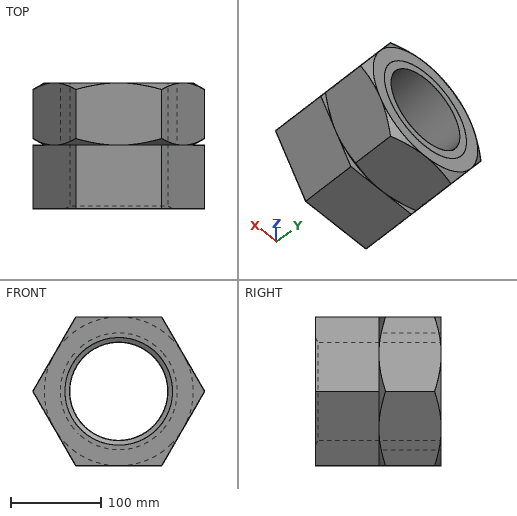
import cadquery as cq
import math

ACROSS_CORNERS = 190.5
CORNER_RADIUS = ACROSS_CORNERS / 2
FLAT_RADIUS = CORNER_RADIUS * math.cos(math.radians(30))

TOTAL_LENGTH = 139.5
PLAIN_HEX_LENGTH = 70.5
NUT_LENGTH = TOTAL_LENGTH - PLAIN_HEX_LENGTH

SLEEVE_RADIUS = 64.8

BORE_RADIUS = 54.3
COUNTERSINK_RADIUS = 59.6
COUNTERSINK_ANGLE = 120.0
COUNTERSINK_DEPTH = (COUNTERSINK_RADIUS - BORE_RADIUS) / math.tan(math.radians(COUNTERSINK_ANGLE / 2))

CORNER_CHAMFER_ANGLE = 30.0
CORNER_DROP = (CORNER_RADIUS - FLAT_RADIUS) * math.tan(math.radians(CORNER_CHAMFER_ANGLE))


def revolve_about_y(profile):
    """Revolve a closed (radius, y) profile a full turn around the Y axis."""
    return cq.Workplane("XY").polyline(profile).close().revolve(360, (0, 0, 0), (0, 1, 0))


def plane_at(y):
    """Workplane across the axis at the given Y; negative extrusions run toward +Y."""
    return cq.Workplane("XZ", origin=(0, y, 0))


def hex_prism(y_front, length):
    """Solid hexagonal prism that runs from y_front toward +Y."""
    return plane_at(y_front).polygon(6, ACROSS_CORNERS).extrude(-length)


def cylinder(y_front, length, radius):
    """Solid cylinder that runs from y_front toward +Y."""
    return plane_at(y_front).circle(radius).extrude(-length)


def countersunk_bore():
    """Cutter for the through bore and its front countersink."""
    return revolve_about_y([
        (0, 0),
        (COUNTERSINK_RADIUS, 0),
        (BORE_RADIUS, COUNTERSINK_DEPTH),
        (BORE_RADIUS, TOTAL_LENGTH),
        (0, TOTAL_LENGTH),
    ])


def corner_chamfer_envelope(y_front, y_back):
    """Round blank with a cone at each end; its overlap with a hexagonal prism has chamfered corners."""
    return revolve_about_y([
        (0, y_front),
        (FLAT_RADIUS, y_front),
        (CORNER_RADIUS, y_front + CORNER_DROP),
        (CORNER_RADIUS, y_back - CORNER_DROP),
        (FLAT_RADIUS, y_back),
        (0, y_back),
    ])


def make_hex_sleeve():
    """Plain hexagon with a sleeve behind it, bored through its whole length."""
    body = hex_prism(0, PLAIN_HEX_LENGTH)
    body = body.union(cylinder(PLAIN_HEX_LENGTH, NUT_LENGTH, SLEEVE_RADIUS))
    return body.cut(countersunk_bore())


def make_chamfered_nut():
    """Nut with chamfered corners at both ends and a hole that fits the sleeve."""
    nut = hex_prism(PLAIN_HEX_LENGTH, NUT_LENGTH)
    nut = nut.intersect(corner_chamfer_envelope(PLAIN_HEX_LENGTH, TOTAL_LENGTH))
    return nut.cut(cylinder(PLAIN_HEX_LENGTH, NUT_LENGTH, SLEEVE_RADIUS))


hex_sleeve = make_hex_sleeve()
chamfered_nut = make_chamfered_nut()

result = cq.Compound.makeCompound([hex_sleeve.val(), chamfered_nut.val()])